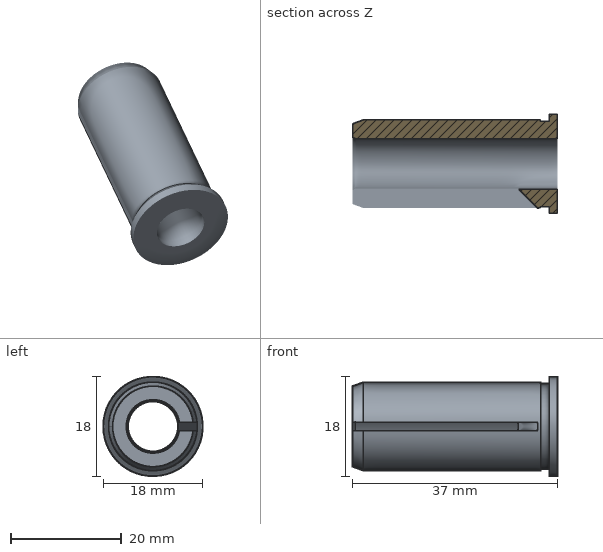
import cadquery as cq
import math

length = 37.0
flange_diameter = 18.0
body_diameter = 16.0
neck_diameter = 15.5
bore_diameter = 9.0

flange_thickness = 1.5
neck_length = 1.5
nose_chamfer_length = 2.0
bore_chamfer_length = 0.55

nose_chamfer_angle = 20.0
bore_chamfer_angle = 30.0

slot_width = 1.5
slot_length = 33.4

nose_x = -length / 2
flange_end_x = length / 2
flange_x = flange_end_x - flange_thickness
neck_x = flange_x - neck_length

flange_radius = flange_diameter / 2
body_radius = body_diameter / 2
neck_radius = neck_diameter / 2
bore_radius = bore_diameter / 2


def taper_drop(taper_length, angle):
    """Change of radius along a taper."""
    return taper_length * math.tan(math.radians(angle))


def make_sleeve():
    """Revolve the half section, bore included, about the X axis."""
    nose_radius = body_radius - taper_drop(nose_chamfer_length, nose_chamfer_angle)
    bore_mouth_radius = bore_radius + taper_drop(bore_chamfer_length, bore_chamfer_angle)
    half_section = [
        (nose_x, bore_mouth_radius),
        (nose_x, nose_radius),
        (nose_x + nose_chamfer_length, body_radius),
        (neck_x, body_radius),
        (neck_x, neck_radius),
        (flange_x, neck_radius),
        (flange_x, flange_radius),
        (flange_end_x, flange_radius),
        (flange_end_x, bore_radius),
        (nose_x + bore_chamfer_length, bore_radius),
    ]
    return cq.Workplane("XY").polyline(half_section).close().revolve(360, (0, 0, 0), (1, 0, 0))


def make_slot():
    """Cutter from the axis out through the -Y wall; its end slopes at 45 degrees."""
    end_x = nose_x + slot_length
    slot_outline = [
        (nose_x, 0),
        (end_x - body_radius, 0),
        (end_x, -body_radius),
        (nose_x, -body_radius),
    ]
    return cq.Workplane("XY").polyline(slot_outline).close().extrude(slot_width / 2, both=True)


result = make_sleeve().cut(make_slot())